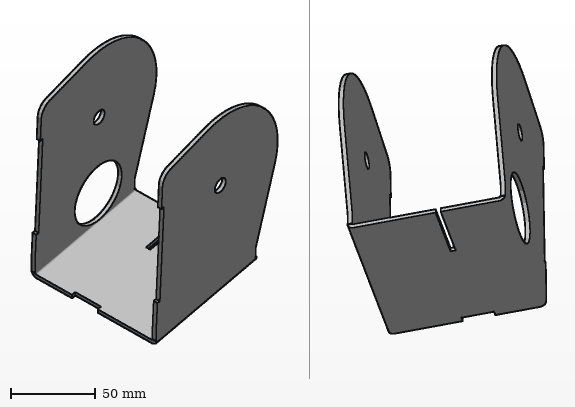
import cadquery as cq
import math

WIDTH = 97.0
THICKNESS = 3.0
BEND_INNER_RADIUS = 1.0
BEND_OUTER_RADIUS = BEND_INNER_RADIUS + THICKNESS
TILT = 3.0

BASE_LENGTH = 91.8
BASE_FRONT_Y = 0.5

PIVOT_Y = 58.8
PIVOT_Z = 87.7
HEAD_RADIUS = 52.6
PIVOT_HOLE_DIAMETER = 10.0
TOP_SLOPE = 12.0
TOP_CORNER_RADIUS = 10.0
FRONT_KNEE_Z = 13.2
FRONT_KNEE_RADIUS = 20.0
WALL_REAR_Y = 91.3
WALL_REAR_KNEE_Z = 16.5

RECESS_DEPTH = 2.2
RECESS_START = 20.6
RECESS_LENGTH = 71.8

OPENING_DIAMETER = 43.0
OPENING_Y = 58.0
OPENING_Z = 28.0

CUTOUT_X = -7.3
SLOT_WIDTH = 3.1
SLOT_LENGTH = 33.5
NOTCH_WIDTH = 19.9
NOTCH_DEPTH = 3.0

TILT_SIN = math.sin(math.radians(TILT))
TILT_COS = math.cos(math.radians(TILT))
TILT_TAN = math.tan(math.radians(TILT))


def head_point(angle):
    """Point on the round head, with the angle measured from +Y toward +Z."""
    turn = math.radians(angle)
    return (PIVOT_Y + HEAD_RADIUS * math.cos(turn), PIVOT_Z + HEAD_RADIUS * math.sin(turn))


def rear_tangent_angle():
    """Angle on the head where the line from the rear knee touches it."""
    dy = WALL_REAR_Y - PIVOT_Y
    dz = WALL_REAR_KNEE_Z - PIVOT_Z
    knee_angle = math.degrees(math.atan2(dz, dy))
    return knee_angle + math.degrees(math.acos(HEAD_RADIUS / math.hypot(dy, dz)))


def front_edge_point(along, inward=0):
    """Point given by its distance along the leaning front edge and its depth behind it."""
    return (
        along * TILT_SIN + inward * TILT_COS,
        FRONT_KNEE_Z + along * TILT_COS - inward * TILT_SIN,
    )


def on_base(solid):
    """Move a solid from the flat base position to the tilted one."""
    return solid.rotate((0, 0, 0), (1, 0, 0), TILT).translate((0, BASE_FRONT_Y, 0))


def make_base():
    """Floor and its two quarter-round bends, ending where the walls begin."""
    channel = (
        cq.Workplane("XY")
        .box(WIDTH, BASE_LENGTH, 2 * BEND_OUTER_RADIUS, centered=(True, False, False))
        .edges("|Y and <Z")
        .fillet(BEND_OUTER_RADIUS)
    )
    cavity = (
        cq.Workplane("XY")
        .box(WIDTH - 2 * THICKNESS, BASE_LENGTH, 2 * BEND_OUTER_RADIUS, centered=(True, False, False))
        .edges("|Y and <Z")
        .fillet(BEND_INNER_RADIUS)
        .translate((0, 0, THICKNESS))
    )
    bend_zone = cq.Workplane("XY").box(
        WIDTH, BASE_LENGTH, BEND_OUTER_RADIUS, centered=(True, False, False)
    )
    base = channel.cut(cavity).intersect(bend_zone)

    slot = (
        cq.Workplane("XY")
        .box(SLOT_WIDTH, SLOT_LENGTH, THICKNESS, centered=(True, False, False))
        .translate((CUTOUT_X, BASE_LENGTH - SLOT_LENGTH, 0))
    )
    notch = (
        cq.Workplane("XY")
        .box(NOTCH_WIDTH, NOTCH_DEPTH, THICKNESS, centered=(True, False, False))
        .translate((CUTOUT_X, 0, 0))
    )
    return on_base(base.cut(slot).cut(notch))


def make_wall(left_x):
    """Side wall with its left face at left_x, extending THICKNESS toward +X."""
    top_start = head_point(90 + TOP_SLOPE)
    top_slope = math.tan(math.radians(TOP_SLOPE))

    corner_z = (top_start[1] - top_slope * (top_start[0] + FRONT_KNEE_Z * TILT_TAN)) / (
        1 - top_slope * TILT_TAN
    )
    corner_y = (corner_z - FRONT_KNEE_Z) * TILT_TAN

    bend_top_z = BEND_OUTER_RADIUS / TILT_COS - BASE_FRONT_Y * TILT_TAN
    rear_z = bend_top_z + WALL_REAR_Y * TILT_TAN

    half_tilt = math.radians(TILT / 2)
    knee_reach = FRONT_KNEE_RADIUS * math.tan(half_tilt)
    knee_start_z = FRONT_KNEE_Z - knee_reach
    knee_middle = (
        FRONT_KNEE_RADIUS * (1 - math.cos(half_tilt)),
        knee_start_z + FRONT_KNEE_RADIUS * math.sin(half_tilt),
    )

    tangent_angle = rear_tangent_angle()
    middle_angle = (tangent_angle + 90 + TOP_SLOPE) / 2
    wall = (
        cq.Workplane("YZ", origin=(left_x, 0, 0))
        .moveTo(0, bend_top_z)
        .lineTo(WALL_REAR_Y, rear_z)
        .lineTo(WALL_REAR_Y, WALL_REAR_KNEE_Z)
        .lineTo(*head_point(tangent_angle))
        .threePointArc(head_point(middle_angle), top_start)
        .lineTo(corner_y, corner_z)
        .lineTo(*front_edge_point(knee_reach))
        .threePointArc(knee_middle, (0, knee_start_z))
        .close()
        .extrude(THICKNESS)
    )
    corner = cq.selectors.NearestToPointSelector((left_x + THICKNESS / 2, corner_y, corner_z))
    wall = wall.edges("|X").edges(corner).fillet(TOP_CORNER_RADIUS)

    recess_end = RECESS_START + RECESS_LENGTH
    recess = (
        cq.Workplane("YZ", origin=(left_x, 0, 0))
        .polyline(
            [
                front_edge_point(RECESS_START, -RECESS_DEPTH),
                front_edge_point(RECESS_START, RECESS_DEPTH),
                front_edge_point(recess_end, RECESS_DEPTH),
                front_edge_point(recess_end, -RECESS_DEPTH),
            ]
        )
        .close()
        .extrude(THICKNESS)
    )
    pivot_hole = (
        cq.Workplane("YZ", origin=(left_x, PIVOT_Y, PIVOT_Z))
        .circle(PIVOT_HOLE_DIAMETER / 2)
        .extrude(THICKNESS)
    )
    return wall.cut(recess).cut(pivot_hole)


opening = (
    cq.Workplane("YZ", origin=(-WIDTH / 2, OPENING_Y, OPENING_Z))
    .circle(OPENING_DIAMETER / 2)
    .extrude(BEND_OUTER_RADIUS)
)

left_wall = make_wall(-WIDTH / 2)
right_wall = make_wall(WIDTH / 2 - THICKNESS)
result = make_base().union(left_wall).union(right_wall).cut(opening)